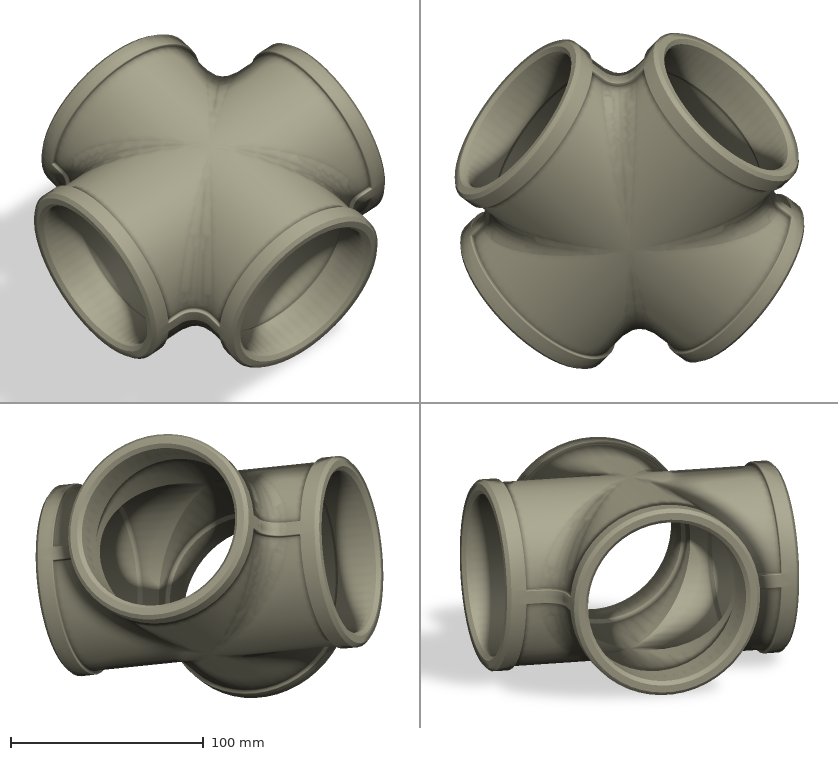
import cadquery as cq


length = 157.0
collar_diameter = 100.0
collar_width = 10.0
step_height = 2.0
step_round = 0.4
rim_chamfer = 1.9

corner_fillet = 12.7
web_thickness = 7.4
web_fillet = 11.1

mouth_diameter = 88.9
socket_diameter = 85.0
socket_depth = 23.1
cavity_diameter = 88.7
cavity_round = 0.8

half_length = length / 2
pipe_diameter = collar_diameter - 2 * step_height
mouth_chamfer = (mouth_diameter - socket_diameter) / 2
cavity_taper = (cavity_diameter - socket_diameter) / 2

PIPE_DIRECTIONS = ((1, 0, 0), (0, 1, 0))
UP = (0, 0, 1)
TOLERANCE = 0.002


def cylinder(direction, diameter, half_span=half_length):
    """Cylinder centred on the origin; its seam runs along the top, clear of the web."""
    plane = cq.Plane(origin=(0, 0, 0), xDir=UP, normal=direction)
    return cq.Workplane(plane).circle(diameter / 2).extrude(half_span, both=True)


def crossed_cylinders(diameter):
    along_x, along_y = (cylinder(direction, diameter) for direction in PIPE_DIRECTIONS)
    return along_x.union(along_y)


def is_diagonal(point):
    """True for a point on a vertical 45 degree plane between the pipes."""
    return abs(abs(point.x) - abs(point.y)) < TOLERANCE


def round_valleys(cross, fillet_radius):
    """Fillet the elliptical edges where the two cylinders meet."""
    valleys = [
        edge
        for edge in cross.edges().vals()
        if edge.geomType() == "ELLIPSE" and is_diagonal(edge.Center())
    ]
    return cross.newObject(valleys).fillet(fillet_radius)


def web():
    """Thin mid-height slice of a collar-sized cross, with rounded inside corners."""
    slab = cq.Workplane("XY").box(length, length, web_thickness)
    return round_valleys(crossed_cylinders(collar_diameter).intersect(slab), web_fillet)


def collars(direction):
    """Collars at both ends of one pipe."""
    gap = cylinder(direction, 2 * collar_diameter, half_length - collar_width)
    return cylinder(direction, collar_diameter).cut(gap)


def outer_shape():
    shape = crossed_cylinders(pipe_diameter).union(web())
    for direction in PIPE_DIRECTIONS:
        shape = shape.union(collars(direction))
    shape = round_valleys(shape.clean(), corner_fillet)

    step_faces = "(|X exc (<X or >X)) or (|Y exc (<Y or >Y)) or |Z"
    shape = shape.faces(step_faces).edges().fillet(step_round)
    return shape.faces("<X or >X or <Y or >Y").edges().chamfer(rim_chamfer)


def bore(direction):
    """Stepped bore through one pipe, revolved from a half profile."""
    socket_end = half_length - socket_depth
    cavity_end = socket_end - cavity_taper
    mouth_profile = [
        (half_length, mouth_diameter / 2),
        (half_length - mouth_chamfer, socket_diameter / 2),
        (socket_end, socket_diameter / 2),
        (cavity_end, cavity_diameter / 2),
    ]
    far_profile = [(-axial, radius) for axial, radius in reversed(mouth_profile)]
    outline = [(half_length, 0)] + mouth_profile + far_profile + [(-half_length, 0)]
    plane = cq.Plane(origin=(0, 0, 0), xDir=direction, normal=UP)
    solid = cq.Workplane(plane).polyline(outline).close().revolve(360, (0, 0), (1, 0))

    axis = cq.Vector(*direction)
    cavity_rims = [
        edge
        for edge in solid.edges("%CIRCLE").vals()
        if abs(edge.Center().dot(axis)) < cavity_end + TOLERANCE
    ]
    return solid.newObject(cavity_rims).fillet(cavity_round)


result = outer_shape()
for pipe_direction in PIPE_DIRECTIONS:
    result = result.cut(bore(pipe_direction))